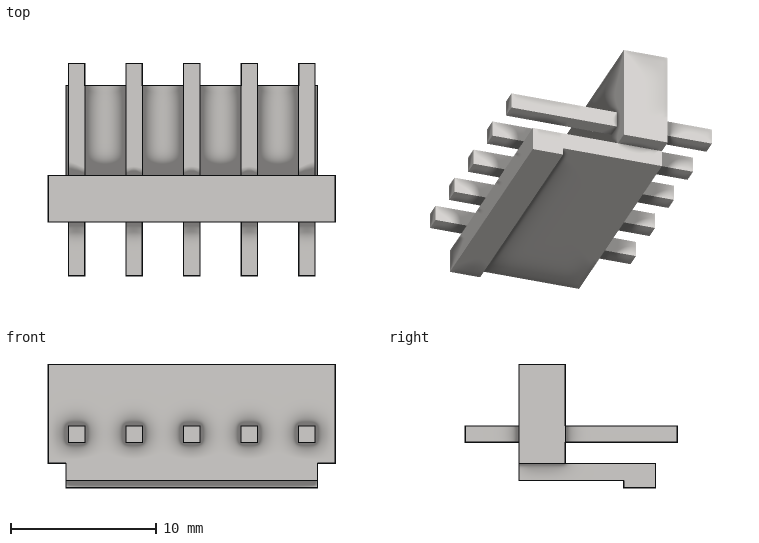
import cadquery as cq

pin_count = 5
pin_pitch = 3.96
pin_size = 1.14
pin_length = 14.6
pin_front_length = 3.7
pin_height = 2.0

wall_end_margin = 1.95
wall_width = (pin_count - 1) * pin_pitch + 2 * wall_end_margin
wall_depth = 3.2
wall_height = 6.8

tongue_width = 17.3
tongue_depth = 9.4
tongue_thickness = 1.2

lip_depth = 2.2
lip_height = 0.5


def block(width, depth, height, front, bottom, center_x=0):
    """Box centred on center_x, starting at the given front Y and bottom Z."""
    corner = (center_x - width / 2, front, bottom)
    return cq.Workplane("XY").box(width, depth, height, centered=False).translate(corner)


def make_wall():
    """Wall with its front face at Y = 0 and its bottom at Z = 0."""
    return block(wall_width, wall_depth, wall_height, front=0, bottom=0)


def make_tongue():
    """L-shaped side profile of tongue and lip, extruded across the width."""
    lip_front = tongue_depth - lip_depth
    lip_bottom = -tongue_thickness - lip_height
    profile = [
        (0, 0),
        (tongue_depth, 0),
        (tongue_depth, lip_bottom),
        (lip_front, lip_bottom),
        (lip_front, -tongue_thickness),
        (0, -tongue_thickness),
    ]
    return cq.Workplane("YZ").polyline(profile).close().extrude(tongue_width / 2, both=True)


def make_pin(index):
    """One straight pin passing through the wall."""
    center_x = (index - (pin_count - 1) / 2) * pin_pitch
    bottom = pin_height - pin_size / 2
    return block(pin_size, pin_length, pin_size, -pin_front_length, bottom, center_x)


result = make_wall().union(make_tongue())
for pin_index in range(pin_count):
    result = result.union(make_pin(pin_index))